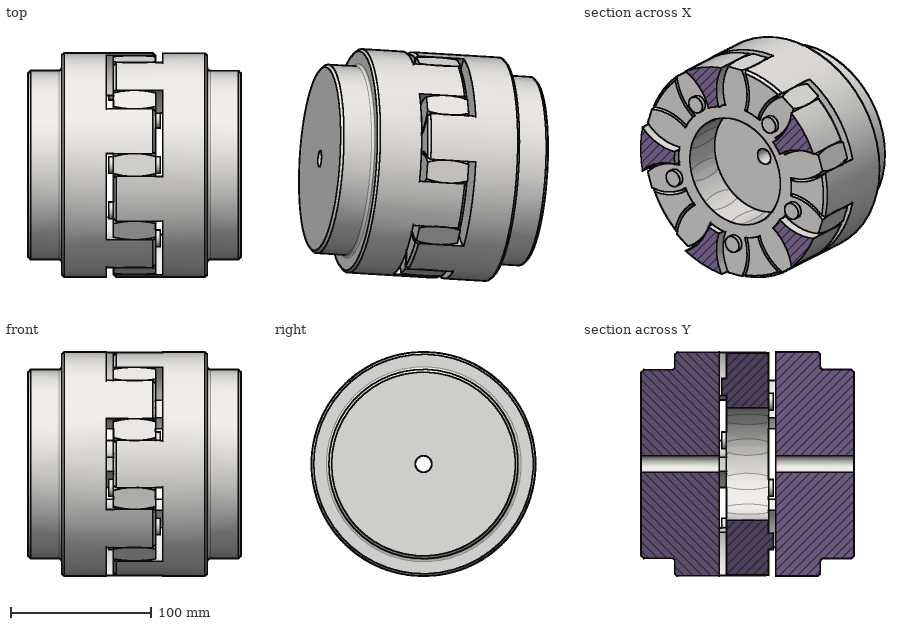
import cadquery as cq
import math


TOTAL_LENGTH = 152.0
OUTER_RADIUS = 80.0
HUB_RADIUS = 67.5
HUB_LENGTH = 24.0
BORE_RADIUS = 5.8
SPIDER_LENGTH = 30.0
END_GAP = 5.0
EDGE_CHAMFER = 2.0
FLANGE_CHAMFER = 1.75
HUB_FILLET = 2.0

CLAWS_PER_HUB = 5
CLAW_OUTER_HALF_WIDTH = 16.9
CLAW_INNER_HALF_WIDTH = 5.0
CLAW_SIDE_RADIUS = 40.0
CLAW_INNER_RADIUS = 49.7

RING_BORE_RADIUS = 40.0
LEG_TOP_DISTANCE = 79.3
LEG_CROWN = 2.0
PAD_CIRCLE_RADIUS = 55.0
PAD_RADIUS = 6.0
PAD_HEIGHT = 3.5

HUB_END = -TOTAL_LENGTH / 2
SHOULDER = HUB_END + HUB_LENGTH
SPIDER_END = SPIDER_LENGTH / 2
FLANGE_FACE = -SPIDER_END - END_GAP
CLAW_TIP = SPIDER_END

CUT_MARGIN = 2.0

CLAW_PITCH = 360.0 / CLAWS_PER_HUB
LEG_PITCH = CLAW_PITCH / 2
FIRST_LEG_ANGLE = LEG_PITCH / 2

FLANK_OUTER = (math.sqrt(OUTER_RADIUS**2 - CLAW_OUTER_HALF_WIDTH**2), CLAW_OUTER_HALF_WIDTH)
FLANK_INNER = (math.sqrt(CLAW_INNER_RADIUS**2 - CLAW_INNER_HALF_WIDTH**2), CLAW_INNER_HALF_WIDTH)


def flank_center():
    """Centre of the concave +Z flank arc, on the outside of the claw."""
    run = FLANK_OUTER[0] - FLANK_INNER[0]
    rise = FLANK_OUTER[1] - FLANK_INNER[1]
    chord = math.hypot(run, rise)
    offset = math.sqrt(CLAW_SIDE_RADIUS**2 - (chord / 2) ** 2)
    mid_y = (FLANK_OUTER[0] + FLANK_INNER[0]) / 2
    mid_z = (FLANK_OUTER[1] + FLANK_INNER[1]) / 2
    return mid_y - offset * rise / chord, mid_z + offset * run / chord


def around_axis(shape, angle):
    return shape.rotate((0, 0, 0), (1, 0, 0), angle)


def cylinder(radius, start, end):
    return cq.Workplane("YZ").workplane(offset=start).circle(radius).extrude(end - start)


def flank_z(y):
    """Height of the +Z flank arc above the claw's centreline."""
    center_y, center_z = flank_center()
    return center_z - math.sqrt(CLAW_SIDE_RADIUS**2 - (y - center_y) ** 2)


def make_claw_prism():
    """Cross-section of the claw along +Y, run on past the outer radius, from flange face to tip."""
    tip_y = OUTER_RADIUS + CUT_MARGIN
    tip_z = flank_z(tip_y)
    mid_y = (tip_y + FLANK_INNER[0]) / 2
    mid_z = flank_z(mid_y)
    return (
        cq.Workplane("YZ")
        .workplane(offset=FLANGE_FACE)
        .moveTo(*FLANK_INNER)
        .threePointArc((mid_y, mid_z), (tip_y, tip_z))
        .lineTo(tip_y, -tip_z)
        .threePointArc((mid_y, -mid_z), (FLANK_INNER[0], -FLANK_INNER[1]))
        .threePointArc((CLAW_INNER_RADIUS, 0), FLANK_INNER)
        .close()
        .extrude(CLAW_TIP - FLANGE_FACE)
    )


def make_claw_spaces():
    """Everything beyond the flange face that is not a claw."""
    spaces = cylinder(OUTER_RADIUS + CUT_MARGIN, FLANGE_FACE, CLAW_TIP)
    claw = make_claw_prism()
    for index in range(CLAWS_PER_HUB):
        spaces = spaces.cut(around_axis(claw, index * CLAW_PITCH))
    return spaces


def make_hub_blank():
    """Turned boss and flange up to the claw tips, with a filleted shoulder and a through bore."""
    fillet_drop = HUB_FILLET * (1 - math.sqrt(0.5))
    return (
        cq.Workplane("XY")
        .moveTo(HUB_END, BORE_RADIUS)
        .lineTo(HUB_END, HUB_RADIUS - EDGE_CHAMFER)
        .lineTo(HUB_END + EDGE_CHAMFER, HUB_RADIUS)
        .lineTo(SHOULDER - HUB_FILLET, HUB_RADIUS)
        .threePointArc(
            (SHOULDER - fillet_drop, HUB_RADIUS + fillet_drop),
            (SHOULDER, HUB_RADIUS + HUB_FILLET),
        )
        .lineTo(SHOULDER, OUTER_RADIUS - FLANGE_CHAMFER)
        .lineTo(SHOULDER + FLANGE_CHAMFER, OUTER_RADIUS)
        .lineTo(CLAW_TIP - EDGE_CHAMFER, OUTER_RADIUS)
        .lineTo(CLAW_TIP, OUTER_RADIUS - EDGE_CHAMFER)
        .lineTo(CLAW_TIP, BORE_RADIUS)
        .close()
        .revolve(360, (0, 0, 0), (1, 0, 0))
    )


def make_hub():
    """The hub on the -X side, with one claw along +Y."""
    return make_hub_blank().cut(make_claw_spaces())


def make_flank_barrel():
    """Barrel about the flank arc's axis: it meets the flank at mid-length and falls back at its ends."""
    end_radius = CLAW_SIDE_RADIUS - LEG_CROWN
    return (
        cq.Workplane("XY")
        .moveTo(-SPIDER_END, 0)
        .lineTo(-SPIDER_END, end_radius)
        .threePointArc((0, CLAW_SIDE_RADIUS), (SPIDER_END, end_radius))
        .lineTo(SPIDER_END, 0)
        .close()
        .revolve(360, (0, 0, 0), (1, 0, 0))
        .translate((0, *flank_center()))
    )


def make_leg():
    """One crowned leg between the claw along +Y and the next claw of the other hub."""
    barrel = make_flank_barrel()
    opposite = around_axis(barrel.mirror("XY"), LEG_PITCH)
    leg = barrel.intersect(opposite)
    slab = cq.Workplane("XY").box(SPIDER_LENGTH, 2 * LEG_TOP_DISTANCE, 2 * OUTER_RADIUS)
    leg = leg.intersect(around_axis(slab, FIRST_LEG_ANGLE))
    return leg.cut(cylinder(RING_BORE_RADIUS, -SPIDER_END, SPIDER_END))


def make_pad(start):
    """Round spacer pad on the end face of the first leg, starting at the given X."""
    pad = cylinder(PAD_RADIUS, start, start + PAD_HEIGHT).translate((0, PAD_CIRCLE_RADIUS, 0))
    return around_axis(pad, FIRST_LEG_ANGLE)


def make_spider():
    spider = cylinder(CLAW_INNER_RADIUS, -SPIDER_END, SPIDER_END)
    spider = spider.cut(cylinder(RING_BORE_RADIUS, -SPIDER_END, SPIDER_END))
    leg = make_leg()
    right_pad = make_pad(SPIDER_END)
    left_pad = make_pad(-SPIDER_END - PAD_HEIGHT)
    for index in range(2 * CLAWS_PER_HUB):
        pad = right_pad if index % 2 == 0 else left_pad
        angle = index * LEG_PITCH
        spider = spider.union(around_axis(leg, angle)).union(around_axis(pad, angle))
    return spider


left_hub = make_hub()
right_hub = left_hub.rotate((0, 0, 0), (0, 0, 1), 180)
spider = make_spider()

result = cq.Compound.makeCompound([body.solids().val() for body in (left_hub, right_hub, spider)])